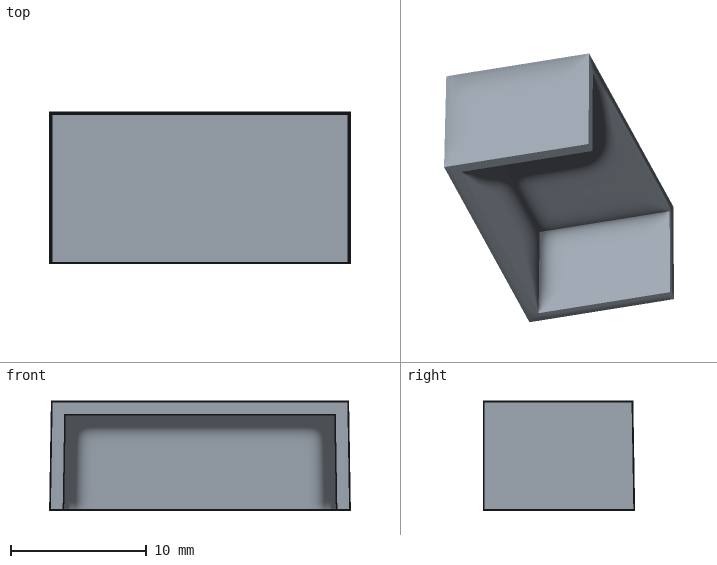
import cadquery as cq

length = 22.1
depth = 11.1
height = 8.0

wall = 1.0
lean = 0.13

front_y = -depth / 2
back_y = depth / 2


def tapered_block(inset, top_z):
    """Block inset from the sides and back, sharing their lean and reaching the upright front plane."""

    def add_section(workplane, shrink):
        side_x = length / 2 - inset - shrink
        rear_y = back_y - inset - shrink
        corners = [
            (-side_x, front_y),
            (side_x, front_y),
            (side_x, rear_y),
            (-side_x, rear_y),
        ]
        return workplane.polyline(corners).close()

    bottom = add_section(cq.Workplane("XY"), 0)
    top = add_section(bottom.workplane(offset=top_z), lean * top_z / height)
    return top.loft(ruled=True)


outer_body = tapered_block(0, height)
cavity = tapered_block(wall, height - wall)

result = outer_body.cut(cavity)